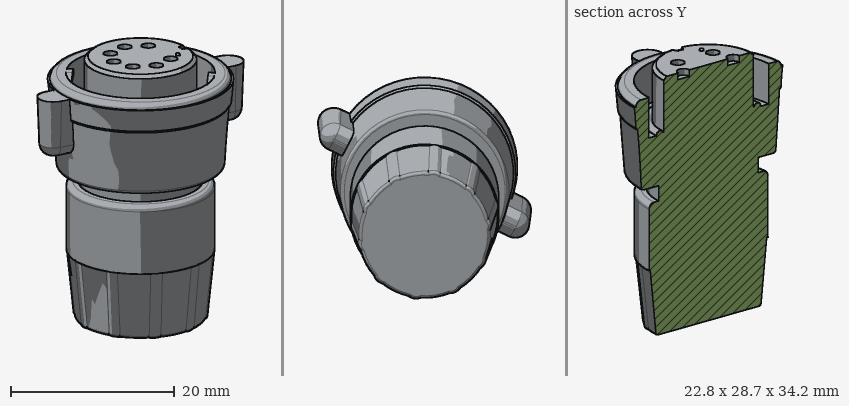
import cadquery as cq
import math

taper_top = 8.8
body_top = 17.75
collar_base = 19.68
step_base = 27.88
step_top = 28.2
ear_top = 30.95
rim_top = 31.75
insert_top = 33.9
total_height = 34.17
cavity_floor = 26.4

grip_base_radius = 8.03
body_radius = 9.1
neck_radius = 7.65
collar_base_radius = 10.3
collar_step_radius = 10.85
band_base_radius = 11.15
band_top_radius = 11.38
rim_radius = 11.1
bore_radius = 9.12
insert_radius = 6.87

base_fillet = 0.4
body_fillet = 0.75
collar_fillet = 0.48
rim_fillet = rim_top - ear_top
rim_flat_radius = rim_radius - rim_fillet
insert_chamfer = 0.45

rib_count = 10
rib_radius = 1.45
rib_height = 0.17

ear_half_width = 1.95
ear_reach = 14.35
ear_base = 23.37
ear_draft = 2.1
ear_fillet = 1.6

seal_outer_radius = 8.0

lug_angle = 55
lug_face_distance = 8.3
lug_half_width = 1.5
lug_height = 1.03
lug_fillet = 1.0

hole_places = 8
key_angle = 90
hole_circle_radius = 3.8
hole_radius = 0.85
hole_depth = 0.85

notch_inner_y = 5.67
notch_inner_half_width = 0.4
notch_outer_half_width = 1.0
notch_depth = 1.03

bead_x = 2.0
bead_y = 4.1


def cylinder(radius, z_bottom, z_top):
    return cq.Workplane("XY").workplane(offset=z_bottom).circle(radius).extrude(z_top - z_bottom)


def opposite_pair(shape):
    return shape.union(shape.rotate((0, 0, 0), (0, 0, 1), 180))


def make_grip():
    """Tapered grip with raised round ribs that lean inward with the taper."""
    grip_top_radius = body_radius - rib_height
    grip = (
        cq.Workplane("XY")
        .circle(grip_base_radius)
        .workplane(offset=taper_top)
        .circle(grip_top_radius)
        .loft()
    )
    base_offset = grip_base_radius + rib_height - rib_radius
    top_offset = body_radius - rib_radius
    rib = (
        cq.Workplane("XY")
        .center(0, -base_offset)
        .circle(rib_radius)
        .workplane(offset=taper_top)
        .center(0, base_offset - top_offset)
        .circle(rib_radius)
        .loft()
    )
    for i in range(rib_count):
        grip = grip.union(rib.rotate((0, 0, 0), (0, 0, 1), i * 360 / rib_count))
    return grip.faces("<Z").edges().fillet(base_fillet)


def make_collar():
    """Coupling ring: tapered skirt, wider band and rounded rim, bored from the top."""
    collar = (
        cq.Workplane("XZ")
        .moveTo(0, collar_base)
        .lineTo(collar_base_radius, collar_base)
        .lineTo(collar_step_radius, step_base)
        .lineTo(band_base_radius, step_top)
        .lineTo(band_top_radius, ear_top)
        .lineTo(rim_radius, ear_top)
        .radiusArc((rim_flat_radius, rim_top), -rim_fillet)
        .lineTo(0, rim_top)
        .close()
        .revolve(360, (0, 0, 0), (0, 1, 0))
        .faces("<Z")
        .edges()
        .fillet(collar_fillet)
    )
    bore = cylinder(bore_radius, cavity_floor, rim_top)
    return collar.union(opposite_pair(make_ear())).cut(bore)


def make_ear():
    """Drafted ear with a round outer end and a rounded underside."""
    ear = (
        cq.Workplane("XY")
        .workplane(offset=ear_top)
        .slot2D(2 * ear_reach - 2 * bore_radius, 2 * ear_half_width, 90)
        .extrude(ear_base - ear_top, taper=ear_draft)
        .translate((0, -bore_radius, 0))
    )
    return ear.faces("<Z").edges().fillet(ear_fillet)


def make_lug():
    """Bayonet lug on the bore wall, flush with the rim and rounded at both ends."""
    lug = (
        cq.Workplane("XY")
        .workplane(offset=rim_top - lug_height)
        .center((lug_face_distance + rim_flat_radius) / 2, 0)
        .rect(rim_flat_radius - lug_face_distance, 2 * lug_half_width)
        .extrude(lug_height)
        .edges("|X and >Z")
        .fillet(lug_fillet)
    )
    return lug.intersect(cylinder(rim_flat_radius, cavity_floor, rim_top))


def make_insert():
    """Contact insert with its holes, key notch and orientation bead."""
    insert = cylinder(insert_radius, cavity_floor, insert_top).faces(">Z").chamfer(insert_chamfer)
    step = 360 / hole_places
    angles = [math.radians(key_angle + i * step) for i in range(1, hole_places)]
    centers = [(hole_circle_radius * math.cos(a), hole_circle_radius * math.sin(a)) for a in angles]
    holes = (
        cq.Workplane("XY")
        .workplane(offset=insert_top - hole_depth)
        .pushPoints(centers)
        .circle(hole_radius)
        .extrude(hole_depth)
    )
    notch = (
        cq.Workplane("XY")
        .workplane(offset=insert_top - notch_depth)
        .polyline([
            (-notch_inner_half_width, notch_inner_y),
            (notch_inner_half_width, notch_inner_y),
            (notch_outer_half_width, insert_radius),
            (-notch_outer_half_width, insert_radius),
        ])
        .close()
        .extrude(notch_depth)
    )
    bead = cq.Workplane("XY").sphere(total_height - insert_top).translate((bead_x, bead_y, insert_top))
    return insert.cut(holes).cut(notch).union(bead)


def make_seal():
    """Half-buried round ring between the insert and the cavity wall."""
    section_radius = (seal_outer_radius - insert_radius) / 2
    center_radius = insert_radius + section_radius
    return (
        cq.Workplane("XZ")
        .center(center_radius, cavity_floor)
        .circle(section_radius)
        .revolve(360, (-center_radius, 0, 0), (-center_radius, 1, 0))
    )


body = cylinder(body_radius, taper_top, body_top).faces(">Z").edges().fillet(body_fillet)
neck = cylinder(neck_radius, body_top, collar_base)
lugs = opposite_pair(make_lug()).rotate((0, 0, 0), (0, 0, 1), lug_angle)

result = make_grip().union(body).union(neck).union(make_collar())
result = result.union(lugs).union(make_seal()).union(make_insert())